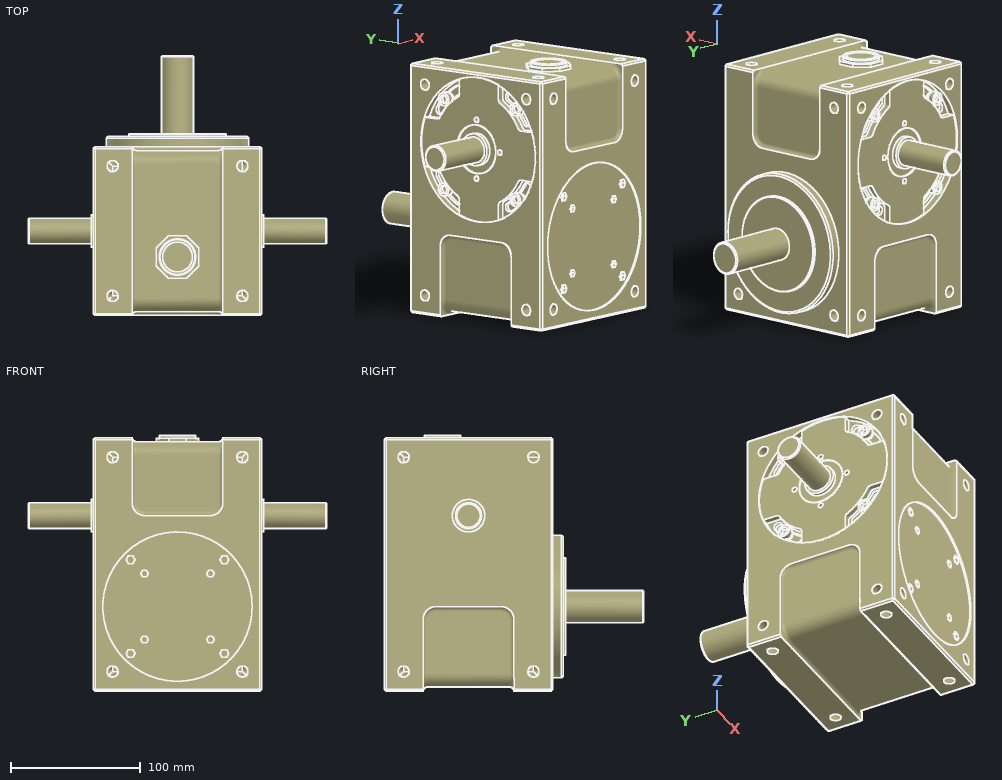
import cadquery as cq
import math

housing_width = 130.0
housing_depth = 130.0
housing_height = 195.0
edge_chamfer = 1.5
half_width = housing_width / 2
half_depth = housing_depth / 2

output_height = 65.0
input_height = 135.0

recess_width = 70.0
recess_depth = 3.0
recess_fillet = 3.5
recess_bend = 10.0
recess_corner = 10.0
top_recess_drop = 60.0
bottom_recess_rise = 65.0
cutter_margin = 20.0

mount_diameter = 8.5
mount_inset = 15.0
mount_depth = 15.0

input_diameter = 20.0
input_reach = 115.0
input_collar_diameter = 25.0
input_collar_height = 1.5
shaft_chamfer = 1.0
disc_diameter = 113.0
disc_recess = 1.0
disc_offset = -2.5
seat_depth = 5.5
seat_inner_radius = 44.0
seat_corner = 3.0
seat_half_gap = 19.3
disc_screw_radius = 50.0
slot_width = 7.0
slot_half_angle = 14.5
slot_depth = 3.0
seal_diameter = 38.0
seal_depth = 1.0
retainer_diameter = 55.0
retainer_hole_diameter = 4.0
retainer_hole_radius = 23.0
retainer_hole_depth = 5.0
retainer_hole_count = 4

flange_diameter = 110.0
flange_height = 8.0
flange_chamfer = 1.5
cap_diameter = 75.0
cap_height = 2.0
cap_chamfer = 0.5
output_diameter = 25.0
output_length = 60.0

cover_recess = 1.0
outer_cover_diameter = 115.0
inner_cover_diameter = 84.0
outer_screw_offset = 36.1
inner_screw_offset = 25.4
inlay_depth = 5.0

m6_head = 10.0
m6_socket = 6.0
m6_head_height = 5.0
m5_head = 8.5
m5_socket = 5.0
socket_depth = 3.0

plug_y = -20.0
plug_top = housing_height + 2.0
plug_flats = 33.0
plug_sides = 8
plug_cap_diameter = 28.0
plug_flange_height = 2.5
plug_chamfer = 0.5
plug_dish_diameter = 23.0
plug_dish_depth = 0.5


def face_plane(origin, normal, x_dir):
    return cq.Workplane(cq.Plane(origin=origin, xDir=x_dir, normal=normal))


def wrap_recess_cutter(span, reach):
    """Cutter running over the top (z = 0, pointing down) of a block `span` wide along X,
    and `reach` down both ends; the band is `recess_width` wide along Y."""
    core_half = span / 2 - recess_depth
    outer_half = span / 2 + cutter_margin
    outer = (
        cq.Workplane("XY")
        .box(2 * outer_half, recess_width, reach + cutter_margin, centered=(True, True, False))
        .translate((0, 0, -reach))
        .edges("|X and <Z").fillet(recess_corner)
    )
    core = (
        cq.Workplane("XY")
        .box(2 * core_half, 2 * recess_width, 2 * reach, centered=(True, True, False))
        .translate((0, 0, -recess_depth - 2 * reach))
        .edges("|Y and >Z").fillet(recess_bend)
    )
    cutter = outer.cut(core)
    grow = 0.1
    near_core = cq.selectors.BoxSelector(
        (-core_half - grow, -recess_width, -2 * reach),
        (core_half + grow, recess_width, -recess_depth + grow),
    )
    floor_edges = cutter.edges(near_core).edges("not(|Y)")
    return floor_edges.fillet(recess_fillet)


def make_housing():
    block = (
        cq.Workplane("XY")
        .box(housing_width, housing_depth, housing_height, centered=(True, True, False))
        .edges().chamfer(edge_chamfer)
    )
    top_cutter = (
        wrap_recess_cutter(housing_depth, top_recess_drop)
        .rotate((0, 0, 0), (0, 0, 1), 90)
        .translate((0, 0, housing_height))
    )
    bottom_cutter = (
        wrap_recess_cutter(housing_width, bottom_recess_rise)
        .rotate((0, 0, 0), (1, 0, 0), 180)
    )
    return block.cut(top_cutter).cut(bottom_cutter)


def corner_holes(sx, sy, z_face, up):
    """Three flat-bottomed holes entering one housing corner along X, Y and Z and meeting inside."""
    x_hole = sx * (half_width - mount_inset)
    y_hole = sy * (half_depth - mount_inset)
    z_hole = z_face + up * mount_inset
    entries = (
        ((sx * half_width, y_hole, z_hole), (-sx, 0, 0)),
        ((x_hole, sy * half_depth, z_hole), (0, -sy, 0)),
        ((x_hole, y_hole, z_face), (0, 0, up)),
    )
    holes = cq.Workplane("XY")
    for point, direction in entries:
        hole = cq.Solid.makeCylinder(mount_diameter / 2, mount_depth, cq.Vector(*point), cq.Vector(*direction))
        holes = holes.union(cq.Workplane(hole))
    return holes


def cut_mounting_holes(body):
    for sx in (-1, 1):
        for sy in (-1, 1):
            body = body.cut(corner_holes(sx, sy, 0, 1))
            body = body.cut(corner_holes(sx, sy, housing_height, -1))
    return body


def add_output_side(body):
    def wall(distance):
        return face_plane((0, half_depth + distance, output_height), (0, 1, 0), (1, 0, 0))

    flange = wall(0).circle(flange_diameter / 2).extrude(flange_height)
    flange = flange.faces(">Y").edges().chamfer(flange_chamfer)
    cap = wall(flange_height).circle(cap_diameter / 2).extrude(cap_height)
    cap = cap.faces(">Y").edges().chamfer(cap_chamfer)
    shaft = wall(flange_height + cap_height).circle(output_diameter / 2).extrude(output_length)
    shaft = shaft.faces(">Y").edges().chamfer(shaft_chamfer)
    return body.union(flange).union(cap).union(shaft)


def input_face(y=0.0, below=0.0):
    """Sketch plane parallel to the bearing disc face, `below` it; local x runs along -Y."""
    return face_plane((-half_width + disc_recess + below, y, input_height), (-1, 0, 0), (0, -1, 0))


def cut_disc_recess(body):
    return body.cut(input_face(disc_offset).circle(disc_diameter / 2).extrude(disc_recess))


def add_input_shaft(body):
    shaft = (
        face_plane((-input_reach, 0, input_height), (1, 0, 0), (0, 1, 0))
        .circle(input_diameter / 2).extrude(2 * input_reach)
        .faces("<X or >X").edges().chamfer(shaft_chamfer)
    )
    collar = (
        face_plane((-half_width - input_collar_height, 0, input_height), (1, 0, 0), (0, 1, 0))
        .circle(input_collar_diameter / 2).extrude(housing_width + 2 * input_collar_height)
    )
    return body.union(collar).union(shaft)


def cut_shaft_seal(body):
    seal = input_face().circle(seal_diameter / 2).extrude(-seal_depth)
    holes = (
        input_face()
        .polarArray(retainer_hole_radius, 0, 360, retainer_hole_count)
        .circle(retainer_hole_diameter / 2).extrude(-retainer_hole_depth)
    )
    return body.cut(seal).cut(holes)


def arc_slot(plane, centre_angle):
    """Slot bent along the disc screw circle."""
    inner = disc_screw_radius - slot_width / 2
    outer = disc_screw_radius + slot_width / 2

    def polar(radius, offset):
        angle = math.radians(centre_angle + offset)
        return radius * math.cos(angle), radius * math.sin(angle)

    end_bulge = math.degrees(slot_width / 2 / disc_screw_radius)
    far = slot_half_angle + end_bulge
    return (
        plane.moveTo(*polar(inner, -slot_half_angle))
        .threePointArc(polar(inner, 0), polar(inner, slot_half_angle))
        .threePointArc(polar(disc_screw_radius, far), polar(outer, slot_half_angle))
        .threePointArc(polar(outer, 0), polar(outer, -slot_half_angle))
        .threePointArc(polar(disc_screw_radius, -far), polar(inner, -slot_half_angle))
        .close().extrude(-slot_depth)
    )


def cap_screw(plane, head, socket, height):
    """Screw head standing on the plane, with a hexagon socket."""
    hex_circle = socket / math.cos(math.pi / 6)
    screw = plane.circle(head / 2).extrude(height)
    key = plane.workplane(offset=height - socket_depth).polygon(6, hex_circle).extrude(socket_depth)
    return screw.cut(key)


def add_disc_seats(body):
    """Four sunk seats at the disc rim, each with a bent slot and a cap screw."""
    ring = (
        input_face(disc_offset)
        .circle(disc_diameter / 2).circle(seat_inner_radius).extrude(-seat_depth)
    )
    reach = seat_inner_radius
    inner_corners = cq.selectors.BoxSelector(
        (-half_width, disc_offset - reach, input_height - reach),
        (0, disc_offset + reach, input_height + reach),
    )
    quarter_centre = seat_half_gap + disc_diameter / 2
    screw_offset = disc_screw_radius / math.sqrt(2)
    for sx in (-1, 1):
        for sy in (-1, 1):
            quarter = (
                input_face(disc_offset)
                .center(sx * quarter_centre, sy * quarter_centre)
                .rect(disc_diameter, disc_diameter).extrude(-seat_depth)
            )
            seat = ring.intersect(quarter)
            seat = seat.edges("|X").edges(inner_corners).fillet(seat_corner)
            body = body.cut(seat)
            angle = math.degrees(math.atan2(sy, sx))
            body = body.cut(arc_slot(input_face(disc_offset, seat_depth), angle))
            spot = input_face(disc_offset, seat_depth).center(sx * screw_offset, sy * screw_offset)
            shank = spot.circle(slot_width / 2).extrude(-slot_depth)
            body = body.union(shank).union(cap_screw(spot, m6_head, m6_socket, m6_head_height))
    return body


def cover_face(x=0.0, z=0.0):
    return face_plane((x, -half_depth + cover_recess, output_height + z), (0, -1, 0), (1, 0, 0))


def cut_cover_recess(body):
    return body.cut(cover_face().circle(outer_cover_diameter / 2).extrude(cover_recess))


def cut_cover_sockets(body):
    for offset, socket in ((outer_screw_offset, m6_socket), (inner_screw_offset, m5_socket)):
        hex_circle = socket / math.cos(math.pi / 6)
        for sx in (-1, 1):
            for sz in (-1, 1):
                key = cover_face(sx * offset, sz * offset).polygon(6, hex_circle).extrude(-socket_depth)
                body = body.cut(key)
    return body


def add_plug(body):
    base = housing_height - recess_depth
    octagon = (
        cq.Workplane("XY").workplane(offset=base).center(0, plug_y)
        .polygon(plug_sides, plug_flats, circumscribed=True).extrude(plug_flange_height)
    )
    cap = (
        cq.Workplane("XY").workplane(offset=base).center(0, plug_y)
        .circle(plug_cap_diameter / 2).extrude(plug_top - base)
        .faces(">Z").edges().chamfer(plug_chamfer)
    )
    dish = (
        cq.Workplane("XY").workplane(offset=plug_top).center(0, plug_y)
        .circle(plug_dish_diameter / 2).extrude(-plug_dish_depth)
    )
    return body.union(octagon).union(cap).cut(dish)


def inlay(body, plane, diameter):
    """Mark a flush round insert by splitting the face around it."""
    disc = plane.circle(diameter / 2).extrude(-inlay_depth)
    insert = body.intersect(disc, clean=False)
    return body.cut(disc, clean=False).union(insert, clean=False)


def mark_covers(body):
    body = inlay(body, cover_face(), inner_cover_diameter)
    for offset, head in ((outer_screw_offset, m6_head), (inner_screw_offset, m5_head)):
        for sx in (-1, 1):
            for sz in (-1, 1):
                body = inlay(body, cover_face(sx * offset, sz * offset), head)
    return inlay(body, input_face(), retainer_diameter)


body = make_housing()
body = cut_mounting_holes(body)
body = cut_disc_recess(body)
body = cut_cover_recess(body)
body = add_output_side(body)
body = cut_shaft_seal(body)
body = add_input_shaft(body)
body = add_disc_seats(body)
body = cut_cover_sockets(body)
body = add_plug(body)
body = mark_covers(body)
result = body